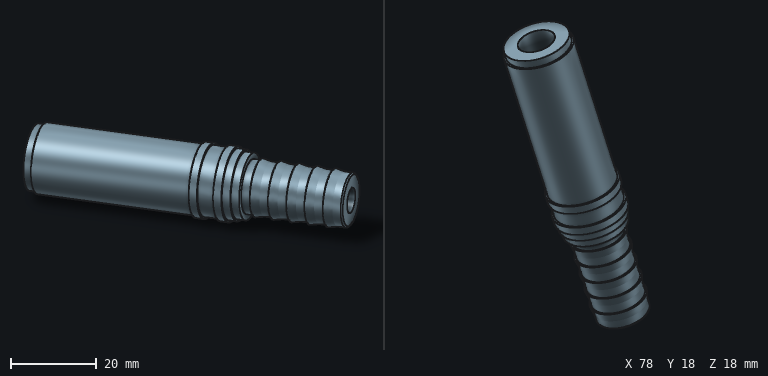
import cadquery as cq

total_length = 78.0
land_length = 2.0
front_band_start = 41.0
rear_band_start = 47.0

body_diameter = 17.0
land_diameter = 16.0
band_diameter = 18.0
tail_diameter = 13.0
barb_diameter = 14.0

barb_count = 5
barbed_length = 22.5
tip_chamfer = 0.4

socket_diameter = 9.0
bore_diameter = 6.0

rear_land_start = rear_band_start + 2 * land_length
tail_start = rear_land_start + land_length
socket_depth = tail_start
barb_pitch = barbed_length / barb_count
barb_length = barb_pitch / 2


def cylinder(start, length, diameter):
    """Cylinder along +X that begins at the given station."""
    return cq.Workplane("YZ", origin=(start, 0, 0)).circle(diameter / 2).extrude(length)


def barb(start):
    """Cone with a sharp step facing the body, tapering to the tail diameter."""
    end = start + barb_length
    profile = [
        (start, 0),
        (start, barb_diameter / 2),
        (end, tail_diameter / 2),
        (end, 0),
    ]
    return cq.Workplane("XY").polyline(profile).close().revolve(360, (0, 0, 0), (1, 0, 0))


handle = cylinder(0, tail_start, land_diameter)
handle = handle.union(cylinder(land_length, rear_land_start - land_length, body_diameter))

for band_start in (front_band_start, rear_band_start):
    handle = handle.union(cylinder(band_start, land_length, band_diameter))

tail = cylinder(tail_start, total_length - tail_start, tail_diameter)
tail = tail.faces(">X").chamfer(tip_chamfer)
for index in range(barb_count):
    tail = tail.union(barb(tail_start + index * barb_pitch + barb_length))

socket = cylinder(0, socket_depth, socket_diameter)
bore = cylinder(0, total_length, bore_diameter)

result = handle.union(tail).cut(socket).cut(bore)